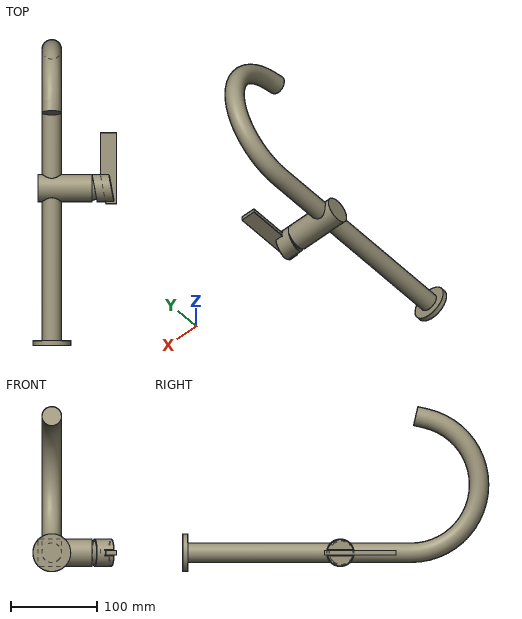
import cadquery as cq
import math

pipe_radius = 11.5
flange_radius = 22.0
flange_thickness = 6.0

overall_length = 355.5
bend_radius = 79.0
bend_angle = 167.0
outlet_length = 12.8
bend_start = overall_length - bend_radius - pipe_radius

valve_radius = 16.0
valve_y = 183.0
valve_start = -16.0
valve_end = 47.0
neck_base_radius = 14.5
neck_taper = 2.5
neck_length = 7.0

tilt = 10.5
tilt_slope = math.tan(math.radians(tilt))
cap_start = 49.8
cap_end = 69.5
cap_rim_chamfer = 0.7

lever_thickness = 5.7
lever_edge_chamfer = 0.5
lever_outer_x = 75.5
lever_tip = 64.5
lever_tail = -18.5
slot_width = 7.5
slot_floor = 59.5


def tilted_x(axis_x, offset_y):
    """X of a tilted plane at a Y offset from the valve axis."""
    return axis_x - offset_y * tilt_slope


def x_cylinder(start, end, radius):
    return cq.Workplane("YZ", origin=(start, valve_y, 0)).circle(radius).extrude(end - start)


def plate(points, thickness):
    """Plate centred on Z = 0; its outline Y values are offsets from the valve axis."""
    plane = cq.Workplane("XY", origin=(0, valve_y, -thickness / 2))
    return plane.polyline(points).close().extrude(thickness)


def make_pipe():
    flange = cq.Workplane("XZ").circle(flange_radius).extrude(-flange_thickness)
    riser = cq.Workplane("XZ").circle(pipe_radius).extrude(-bend_start)
    bend = (
        cq.Workplane("XZ", origin=(0, bend_start, 0))
        .circle(pipe_radius)
        .revolve(bend_angle, (-3.5, bend_radius, 0), (3.5, bend_radius, 0))
    )
    angle = math.radians(bend_angle)
    outlet_plane = cq.Plane(
        origin=(
            0,
            bend_start + bend_radius * math.sin(angle),
            bend_radius * (1 - math.cos(angle)),
        ),
        xDir=(1, 0, 0),
        normal=(0, math.cos(angle), math.sin(angle)),
    )
    outlet = cq.Workplane(outlet_plane).circle(pipe_radius).extrude(outlet_length)
    return flange.union(riser).union(bend).union(outlet)


def make_valve():
    body = x_cylinder(valve_start, valve_end, valve_radius)
    neck = (
        cq.Workplane("YZ", origin=(valve_end, valve_y, 0))
        .circle(neck_base_radius)
        .workplane(offset=neck_length)
        .circle(neck_base_radius - neck_taper)
        .loft()
    )
    return body.union(neck)


def make_cap():
    reach = 3 * valve_radius
    envelope = [
        (tilted_x(cap_start, -reach), -reach),
        (tilted_x(cap_end, -reach), -reach),
        (tilted_x(cap_end, reach), reach),
        (tilted_x(cap_start, reach), reach),
    ]
    cap = x_cylinder(valve_start, lever_outer_x, valve_radius).intersect(plate(envelope, reach))
    cap = cap.faces(">X").chamfer(cap_rim_chamfer)
    slot = [
        (tilted_x(slot_floor, -reach), -reach),
        (tilted_x(cap_end, -reach), -reach),
        (tilted_x(cap_end, reach), reach),
        (tilted_x(slot_floor, reach), reach),
    ]
    return cap.cut(plate(slot, slot_width))


def make_lever():
    lever_inner_x = tilted_x(slot_floor, valve_radius)
    outline = [
        (tilted_x(slot_floor, lever_tail), lever_tail),
        (lever_outer_x, lever_tail),
        (lever_outer_x, lever_tip),
        (lever_inner_x, lever_tip),
        (lever_inner_x, valve_radius),
    ]
    lever = plate(outline, lever_thickness)
    return lever.faces("<X").edges("|Y").chamfer(lever_edge_chamfer)


result = make_pipe().union(make_valve()).union(make_cap()).union(make_lever())